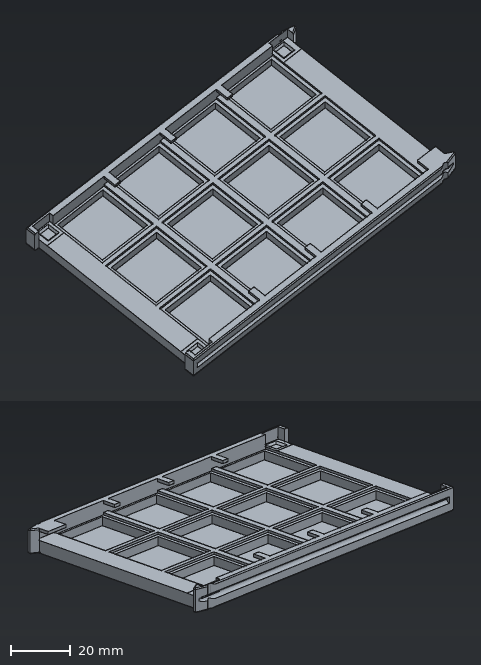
import cadquery as cq
WIDTH = 80.0
HEIGHT = 9.0
LENGTH = 125.2
HALF_WIDTH = WIDTH / 2
TIP_Y = LENGTH / 2
FOOT_Y = -LENGTH / 2

MARGIN = 0.3

PLATE_TOP = 4.6
PLATE_BACK_Y = 59.7
PLATE_FRONT_Y = -60.6

RAIL_WIDTH = 4.1
RAIL_INNER_X = HALF_WIDTH - RAIL_WIDTH
RAIL_WALL_X = 37.2
RAIL_CHAMFER = 0.44
LIP_THICKNESS = 1.1
LIP_INNER_X = 31.9

TIP_OUTER_X = 38.6
TIP_INNER_X = 37.6
TAPER_Y = 56.8
BARB_X = 39.8
BARB_Y = 57.9
NOTCH_X = 39.3
NOTCH_Y = 55.8
NOTCH_BOTTOM_X = 39.1
NOTCH_BOTTOM_Y = 56.6
SHOULDER_Y = 54.2

GROOVE_RADIUS = 1.1

COLUMNS = 3
ROWS = 4
COLUMN_PITCH = 25.7
ROW_PITCH = 26.5
GRID_CENTER_Y = -0.8
POCKET_RIM = 24.0
POCKET_WELL = 21.3
RIM_DEPTH = 0.9
FLOOR_THICKNESS = 0.5

CORNER_WALL_X = 38.8
CORNER_RELIEF = 0.06
RECESS_SIZE = 5.3
RECESS_DEPTH = 0.9
RECESS_BEVEL = 0.8
RECESS_X = 35.7
BACK_RECESS_Y = 55.0
FRONT_RECESS_Y = -56.3

GRID_HALF_LENGTH = (ROWS - 1) / 2 * ROW_PITCH + POCKET_RIM / 2
GRID_BACK_Y = GRID_CENTER_Y + GRID_HALF_LENGTH
GRID_FRONT_Y = GRID_CENTER_Y - GRID_HALF_LENGTH


def block(x_range, y_range, z_range):
    """Box between the given pairs of limits."""
    ranges = (x_range, y_range, z_range)
    sizes = [abs(high - low) for low, high in ranges]
    corner = tuple(min(limits) for limits in ranges)
    return cq.Workplane("XY").box(*sizes, centered=False).translate(corner)


def make_notch():
    """Cutter for the rounded notch between the rail shoulder and the barb."""
    return (
        cq.Workplane("XY")
        .moveTo(HALF_WIDTH, SHOULDER_Y - MARGIN)
        .lineTo(HALF_WIDTH, SHOULDER_Y)
        .tangentArcPoint((NOTCH_X, NOTCH_Y), relative=False)
        .threePointArc((NOTCH_BOTTOM_X, NOTCH_BOTTOM_Y), (BARB_X, BARB_Y))
        .lineTo(HALF_WIDTH + MARGIN, BARB_Y)
        .lineTo(HALF_WIDTH + MARGIN, SHOULDER_Y - MARGIN)
        .close()
        .extrude(HEIGHT)
    )


def make_rail():
    """Rail on the +X side, with its front foot, barbed tip, lip and groove."""
    strip = (
        cq.Workplane("XY")
        .moveTo(RAIL_INNER_X, FOOT_Y)
        .lineTo(HALF_WIDTH, FOOT_Y)
        .lineTo(HALF_WIDTH, TAPER_Y)
        .lineTo(TIP_OUTER_X, TIP_Y)
        .lineTo(TIP_INNER_X, TIP_Y)
        .lineTo(RAIL_INNER_X, PLATE_BACK_Y)
        .close()
        .extrude(HEIGHT)
    )
    level_edges = cq.selectors.StringSyntaxSelector("#Z")
    inner_edges = cq.selectors.BoxSelector(
        (RAIL_INNER_X - MARGIN, FOOT_Y, -MARGIN),
        (RAIL_INNER_X + MARGIN, PLATE_BACK_Y, HEIGHT + MARGIN),
    )
    strip = strip.edges(level_edges - inner_edges).chamfer(RAIL_CHAMFER)
    channel = block((RAIL_INNER_X, RAIL_WALL_X), (PLATE_FRONT_Y, PLATE_BACK_Y), (PLATE_TOP, HEIGHT))
    lip_heights = (HEIGHT - LIP_THICKNESS, HEIGHT)
    lip = block((LIP_INNER_X, RAIL_WALL_X), (GRID_FRONT_Y, PLATE_BACK_Y), lip_heights)
    groove = (
        cq.Workplane("XZ", origin=(HALF_WIDTH, PLATE_FRONT_Y, HEIGHT / 2))
        .circle(GROOVE_RADIUS)
        .extrude(PLATE_FRONT_Y - TIP_Y)
    )
    return strip.cut(make_notch()).cut(channel).union(lip).cut(groove)


def make_pockets():
    """Stepped pockets, with the rim outline kept clear of lip and rail above the plate."""
    grid = cq.Workplane("XY").center(0, GRID_CENTER_Y).rarray(COLUMN_PITCH, ROW_PITCH, COLUMNS, ROWS)
    rim_bottom = PLATE_TOP - RIM_DEPTH
    rims = grid.rect(POCKET_RIM, POCKET_RIM).extrude(HEIGHT - rim_bottom)
    rims = rims.translate((0, 0, rim_bottom))
    between_walls = block((-RAIL_WALL_X, RAIL_WALL_X), (GRID_FRONT_Y, GRID_BACK_Y), (0, HEIGHT))
    wells = grid.rect(POCKET_WELL, POCKET_WELL).extrude(HEIGHT - FLOOR_THICKNESS)
    wells = wells.translate((0, 0, FLOOR_THICKNESS))
    return rims.intersect(between_walls).union(wells)


def make_open_corner(side, y_range, recess_y):
    """Cutter for one corner; side is -1 or 1 along X."""
    opening = block((side * LIP_INNER_X, side * CORNER_WALL_X), y_range, (PLATE_TOP - CORNER_RELIEF, HEIGHT))
    floor_size = RECESS_SIZE - 2 * RECESS_BEVEL
    recess = (
        cq.Workplane("XY", origin=(side * RECESS_X, recess_y, PLATE_TOP))
        .rect(RECESS_SIZE, RECESS_SIZE)
        .workplane(offset=-RECESS_DEPTH)
        .rect(floor_size, floor_size)
        .loft(ruled=True)
    )
    return opening.union(recess)


plate = block((-RAIL_INNER_X, RAIL_INNER_X), (PLATE_FRONT_Y, PLATE_BACK_Y), (0, PLATE_TOP))
right_rail = make_rail()
left_rail = right_rail.mirror("YZ")

result = plate.union(right_rail).union(left_rail).cut(make_pockets())
for side in (-1, 1):
    result = result.cut(make_open_corner(side, (PLATE_FRONT_Y, GRID_FRONT_Y), FRONT_RECESS_Y))
result = result.cut(make_open_corner(-1, (GRID_BACK_Y, PLATE_BACK_Y), BACK_RECESS_Y))